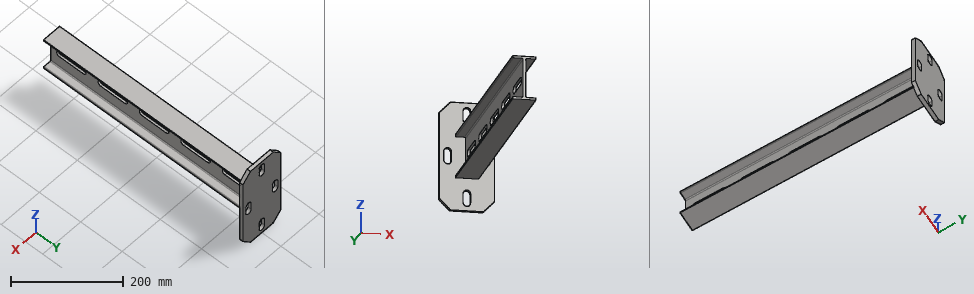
import cadquery as cq

TOTAL_LENGTH = 508.0
PLATE_WIDTH = 100.0
PLATE_HEIGHT = 2 * PLATE_WIDTH
PLATE_THICKNESS = 8.0
CORNER_CHAMFER = PLATE_WIDTH / 5

SLOT_WIDTH = 13.5
BOLT_SLOT_LENGTH = 30.0
BOLT_OFFSET_X = 35.0
BOLT_OFFSET_Z = 76.5

BEAM_LENGTH = TOTAL_LENGTH - PLATE_THICKNESS
BEAM_HEIGHT = 80.5
BEAM_WIDTH = 42.0
FLANGE_THICKNESS = 4.0
WEB_THICKNESS = 5.0
ROOT_RADIUS = 2.0
TIP_RADIUS = 1.0

WEB_SLOT_COUNT = 5
WEB_SLOT_LENGTH = 70.5
WEB_SLOT_PITCH = BEAM_LENGTH / WEB_SLOT_COUNT


def make_plate():
    """Plate standing in XZ, centred on the beam axis, with four bolt slots."""
    plate = (
        cq.Workplane("XZ")
        .rect(PLATE_WIDTH, PLATE_HEIGHT)
        .extrude(-PLATE_THICKNESS)
        .edges("|Y")
        .chamfer(CORNER_CHAMFER)
    )
    bolt_points = [
        (-BOLT_OFFSET_X, 0),
        (BOLT_OFFSET_X, 0),
        (0, -BOLT_OFFSET_Z),
        (0, BOLT_OFFSET_Z),
    ]
    slots = (
        cq.Workplane("XZ")
        .pushPoints(bolt_points)
        .slot2D(BOLT_SLOT_LENGTH, SLOT_WIDTH, 90)
        .extrude(-PLATE_THICKNESS)
    )
    return plate.cut(slots).translate((0, BEAM_LENGTH, 0))


def make_side_channel(side):
    """Space between the flanges on one side (-1 or 1) of the web."""
    half_web = WEB_THICKNESS / 2
    depth = BEAM_WIDTH / 2 - half_web
    inner_height = BEAM_HEIGHT - 2 * FLANGE_THICKNESS
    channel = cq.Workplane("XY").box(depth, BEAM_LENGTH, inner_height)
    web_edges = "<X" if side > 0 else ">X"
    channel = channel.faces(web_edges).edges("|Y").fillet(ROOT_RADIUS)
    return channel.translate((side * (half_web + depth / 2), BEAM_LENGTH / 2, 0))


def make_beam():
    """I-beam from Y = 0 to the plate, with slots through its web."""
    beam = cq.Workplane("XY").box(BEAM_WIDTH, BEAM_LENGTH, BEAM_HEIGHT)
    beam = beam.translate((0, BEAM_LENGTH / 2, 0))
    for side in (-1, 1):
        beam = beam.cut(make_side_channel(side))

    inner_z = BEAM_HEIGHT / 2 - FLANGE_THICKNESS
    for x in (-BEAM_WIDTH / 2, BEAM_WIDTH / 2):
        for z in (-inner_z, inner_z):
            corner = cq.selectors.NearestToPointSelector((x, BEAM_LENGTH / 2, z))
            beam = beam.edges(corner).fillet(TIP_RADIUS)

    slot_points = [((i + 0.5) * WEB_SLOT_PITCH, 0) for i in range(WEB_SLOT_COUNT)]
    slots = (
        cq.Workplane("YZ")
        .pushPoints(slot_points)
        .slot2D(WEB_SLOT_LENGTH, SLOT_WIDTH)
        .extrude(WEB_THICKNESS, both=True)
    )
    return beam.cut(slots)


plate = make_plate()
beam = make_beam()
result = cq.Compound.makeCompound([plate.val(), beam.val()])